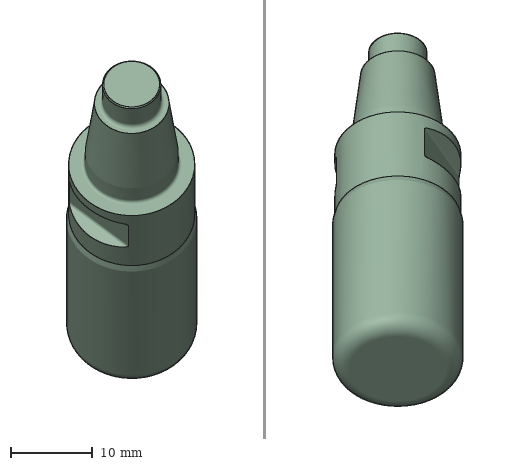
import cadquery as cq
import math

total_height = 52.6
sleeve_height = 25.0
shoulder_height = 35.6
cone_base_height = 38.45
tip_base_height = 48.6

sleeve_radius = 8.0
sleeve_bottom_fillet = 2.0
sleeve_top_bevel_height = 0.95

collar_radius = 7.75
neck_radius = 5.7
neck_root_radius = 5.75
cone_top_radius = 4.6
tip_radius = 3.6
neck_root_fillet = 0.4
tip_root_fillet = 0.5
tip_chamfer = 0.15

flat_distance = 6.0
flat_center_height = 31.3
flat_mouth_width = 5.7
flat_side_angle = 15.0
flat_corner_fillet = 0.4
cutter_overhang = 1.05


def make_sleeve():
    """Solid barrel with a rounded bottom and a bevel up to the collar."""
    profile = (
        cq.Workplane("XZ")
        .lineTo(sleeve_radius - sleeve_bottom_fillet, 0)
        .radiusArc((sleeve_radius, sleeve_bottom_fillet), -sleeve_bottom_fillet)
        .lineTo(sleeve_radius, sleeve_height - sleeve_top_bevel_height)
        .lineTo(collar_radius, sleeve_height)
        .lineTo(0, sleeve_height)
        .close()
    )
    return profile.revolve(360, (0, 0), (0, 1))


def make_flat_cutter():
    """Flared prism along X that cuts the flat on the +Y side."""
    side_slope = math.tan(math.radians(flat_side_angle))
    half_floor = flat_mouth_width / 2 - (collar_radius - flat_distance) * side_slope
    outer_distance = collar_radius + cutter_overhang
    half_outer = flat_mouth_width / 2 + cutter_overhang * side_slope
    return (
        cq.Workplane("YZ")
        .polyline([
            (flat_distance, flat_center_height - half_floor),
            (outer_distance, flat_center_height - half_outer),
            (outer_distance, flat_center_height + half_outer),
            (flat_distance, flat_center_height + half_floor),
        ])
        .close()
        .extrude(collar_radius, both=True)
        .faces("<Y")
        .edges("|X")
        .fillet(flat_corner_fillet)
    )


def make_stem():
    """Collar, tapered neck and tip turned in one piece, with two opposite flats."""
    profile = (
        cq.Workplane("XZ")
        .moveTo(0, sleeve_height)
        .lineTo(collar_radius, sleeve_height)
        .lineTo(collar_radius, shoulder_height)
        .lineTo(neck_root_radius + neck_root_fillet, shoulder_height)
        .radiusArc((neck_root_radius, shoulder_height + neck_root_fillet), neck_root_fillet)
        .lineTo(neck_radius, cone_base_height)
        .lineTo(cone_top_radius, tip_base_height)
        .lineTo(tip_radius + tip_root_fillet, tip_base_height)
        .radiusArc((tip_radius, tip_base_height + tip_root_fillet), tip_root_fillet)
        .lineTo(tip_radius, total_height - tip_chamfer)
        .lineTo(tip_radius - tip_chamfer, total_height)
        .lineTo(0, total_height)
        .close()
    )
    stem = profile.revolve(360, (0, 0), (0, 1))
    cutter = make_flat_cutter()
    for side_angle in (0, 180):
        stem = stem.cut(cutter.rotate((0, 0, 0), (0, 0, 1), side_angle))
    return stem


sleeve = make_sleeve()
stem = make_stem()

result = cq.Compound.makeCompound([sleeve.val(), stem.val()])